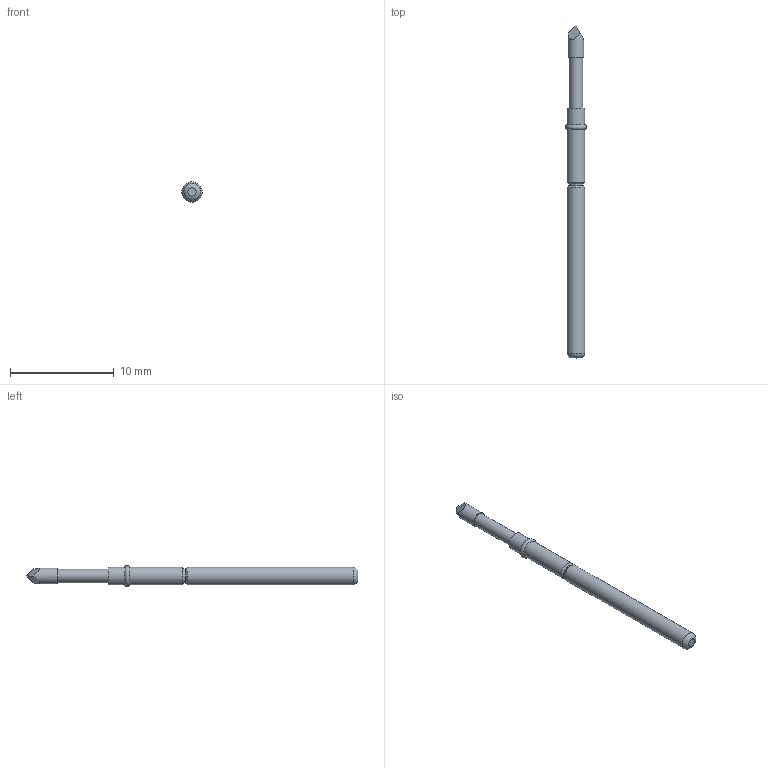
import cadquery as cq
import math

LENGTH = 32.0
HEAD_RADIUS = 0.75
PLUNGER_RADIUS = 0.65
BARREL_RADIUS = 0.85
COLLAR_RADIUS = 1.0

HEAD_DEPTH = 3.0
BARREL_DEPTH = 7.95
COLLAR_DEPTH = 9.5
COLLAR_WIDTH = 0.5
GROOVE_DEPTH = 15.05
GROOVE_WIDTH = 0.5
GROOVE_CHAMFER = 0.17
TAIL_ROUND = 0.45

TIP_SIDES = 3
FACET_ANGLE = 30.0

TIP_Y = LENGTH / 2


def rod(radius, start_depth, end_depth):
    """Cylinder on the probe axis between two distances from the tip."""
    plane = cq.Plane(origin=(0, TIP_Y - start_depth, 0), xDir=(1, 0, 0), normal=(0, -1, 0))
    return cq.Workplane(plane).circle(radius).extrude(end_depth - start_depth)


def make_tip():
    """Three-sided pyramid with its apex on the axis and one ridge towards -X."""
    inradius = HEAD_DEPTH * math.tan(math.radians(FACET_ANGLE))
    corner_radius = inradius / math.cos(math.pi / TIP_SIDES)
    corners = []
    for i in range(TIP_SIDES):
        angle = math.pi + i * 2 * math.pi / TIP_SIDES
        corners.append((corner_radius * math.cos(angle), corner_radius * math.sin(angle)))
    base = cq.Plane(origin=(0, TIP_Y - HEAD_DEPTH, 0), xDir=(1, 0, 0), normal=(0, 1, 0))
    return cq.Workplane(base).polyline(corners).close().extrude(HEAD_DEPTH, taper=FACET_ANGLE)


def make_head():
    """Cylindrical head sharpened by the pyramid."""
    return rod(HEAD_RADIUS, 0, HEAD_DEPTH).intersect(make_tip())


def make_collar():
    """Stop ring whose rim is a full half-round."""
    front_y = TIP_Y - COLLAR_DEPTH
    rear_y = front_y - COLLAR_WIDTH
    rim_start_radius = COLLAR_RADIUS - COLLAR_WIDTH / 2
    profile = (
        cq.Workplane("XY")
        .moveTo(0, front_y)
        .lineTo(rim_start_radius, front_y)
        .threePointArc((COLLAR_RADIUS, (front_y + rear_y) / 2), (rim_start_radius, rear_y))
        .lineTo(0, rear_y)
        .close()
    )
    return profile.revolve(360, (0, 0, 0), (0, 1, 0))


def make_groove():
    """Ring cutter with sloped walls and a flat bottom."""
    front_y = TIP_Y - GROOVE_DEPTH
    rear_y = front_y - GROOVE_WIDTH
    bottom_radius = BARREL_RADIUS - GROOVE_CHAMFER
    profile = [
        (BARREL_RADIUS, front_y),
        (bottom_radius, front_y - GROOVE_CHAMFER),
        (bottom_radius, rear_y + GROOVE_CHAMFER),
        (BARREL_RADIUS, rear_y),
    ]
    return cq.Workplane("XY").polyline(profile).close().revolve(360, (0, 0, 0), (0, 1, 0))


def make_barrel():
    """Barrel with a rounded tail and a crimp groove."""
    barrel = rod(BARREL_RADIUS, BARREL_DEPTH, LENGTH)
    return barrel.faces("<Y").edges().fillet(TAIL_ROUND).cut(make_groove())


plunger = rod(PLUNGER_RADIUS, HEAD_DEPTH, BARREL_DEPTH)
result = make_head().union(plunger).union(make_barrel()).union(make_collar())